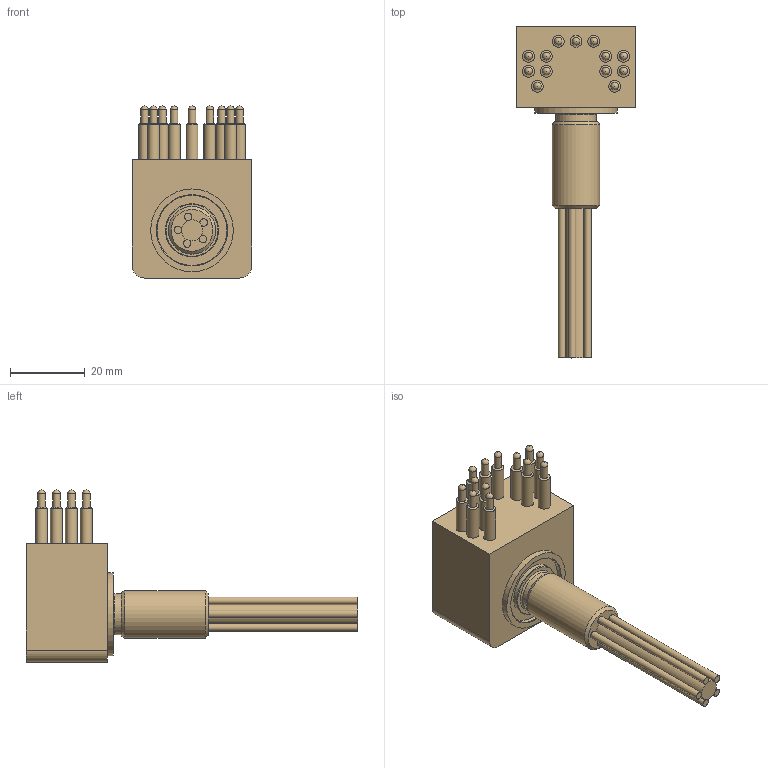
import cadquery as cq
import math


total_length = 88.68
total_height = 45.99

block_width = 31.85
block_depth = 21.7
block_height = 31.75
axis_to_block_top = 19.0
bottom_corner_radius = 3.175

pin_diameter = 3.17
pin_tip_diameter = 2.01
pin_shoulder_height = 9.4
pin_shoulder_rise = 0.2
pin_height = total_height - block_height
pin_tip_end_height = pin_height - pin_tip_diameter / 2
pin_row_pitch = 4.0
first_row_from_back = 4.1
inner_pin_x = 4.7625
middle_pin_x = 7.9375
outer_pin_x = middle_pin_x + inner_pin_x
front_pin_x = (middle_pin_x + outer_pin_x) / 2
pin_rows = [
    [-inner_pin_x, 0, inner_pin_x],
    [-outer_pin_x, -middle_pin_x, middle_pin_x, outer_pin_x],
    [-outer_pin_x, -middle_pin_x, middle_pin_x, outer_pin_x],
    [-front_pin_x, front_pin_x],
]

flange_diameter = 22.1
flange_thickness = 1.6
groove_outer_diameter = 18.75
groove_inner_diameter = 14.22
groove_depth = 1.3
groove_mouth_chamfer = 0.15

neck_fillet = 0.45
neck_diameter = 10.92
neck_end = 3.8
sleeve_diameter = 12.7
sleeve_end = 27.0
sleeve_back_chamfer_length = 0.85
sleeve_back_chamfer_width = 0.5
sleeve_front_chamfer = 0.76

cable_end = total_length - block_depth
core_diameter = 5.59
wire_diameter = 1.98
wire_count = 5
first_wire_angle = 34
wire_overlap = 0.03
wire_circle_radius = core_diameter / 2 + wire_diameter / 2 - wire_overlap


def front_cylinder(diameter, start, end, x=0, z=0):
    """Cylinder along -Y between two distances ahead of the block front."""
    return (
        cq.Workplane("XZ", origin=(0, -start, 0))
        .center(x, z)
        .circle(diameter / 2)
        .extrude(end - start)
    )


def make_block():
    return (
        cq.Workplane("XY")
        .box(block_width, block_depth, block_height, centered=(True, False, False))
        .translate((0, 0, axis_to_block_top - block_height))
        .edges("|Y and <Z")
        .fillet(bottom_corner_radius)
    )


def make_pin():
    pin_radius = pin_diameter / 2
    tip_radius = pin_tip_diameter / 2
    return (
        cq.Workplane("XZ")
        .lineTo(pin_radius, 0)
        .lineTo(pin_radius, pin_shoulder_height)
        .lineTo(tip_radius, pin_shoulder_height + pin_shoulder_rise)
        .lineTo(tip_radius, pin_tip_end_height)
        .radiusArc((0, pin_height), -tip_radius)
        .close()
        .revolve(360, (0, 0, 0), (0, 1, 0))
    )


def add_pins(body):
    pin = make_pin()
    for row, pin_xs in enumerate(pin_rows):
        y = block_depth - first_row_from_back - row * pin_row_pitch
        for x in pin_xs:
            body = body.union(pin.translate((x, y, axis_to_block_top)))
    return body


def make_flange_and_neck():
    """Turn the half section of the flange and neck about the cable axis."""
    groove_outer_radius = groove_outer_diameter / 2
    groove_inner_radius = groove_inner_diameter / 2
    neck_radius = neck_diameter / 2
    front = -flange_thickness
    groove_floor = front + groove_depth
    chamfer_end = front + groove_mouth_chamfer
    return (
        cq.Workplane("XY")
        .lineTo(flange_diameter / 2, 0)
        .lineTo(flange_diameter / 2, front)
        .lineTo(groove_outer_radius + groove_mouth_chamfer, front)
        .lineTo(groove_outer_radius, chamfer_end)
        .lineTo(groove_outer_radius, groove_floor)
        .lineTo(groove_inner_radius, groove_floor)
        .lineTo(groove_inner_radius, chamfer_end)
        .lineTo(groove_inner_radius - groove_mouth_chamfer, front)
        .lineTo(neck_radius + neck_fillet, front)
        .radiusArc((neck_radius, front - neck_fillet), -neck_fillet)
        .lineTo(neck_radius, -neck_end)
        .lineTo(0, -neck_end)
        .close()
        .revolve(360, (0, 0, 0), (0, 1, 0))
    )


def make_sleeve():
    return (
        front_cylinder(sleeve_diameter, neck_end, sleeve_end)
        .faces(">Y")
        .edges()
        .chamfer(sleeve_back_chamfer_length, sleeve_back_chamfer_width)
        .faces("<Y")
        .edges()
        .chamfer(sleeve_front_chamfer)
    )


def make_cable():
    cable = front_cylinder(core_diameter, sleeve_end, cable_end)
    for index in range(wire_count):
        angle = math.radians(first_wire_angle + index * 360 / wire_count)
        x = wire_circle_radius * math.cos(angle)
        z = wire_circle_radius * math.sin(angle)
        cable = cable.union(front_cylinder(wire_diameter, sleeve_end, cable_end, x, z))
    return cable


result = add_pins(make_block())
result = result.union(make_flange_and_neck())
result = result.union(make_sleeve())
result = result.union(make_cable())